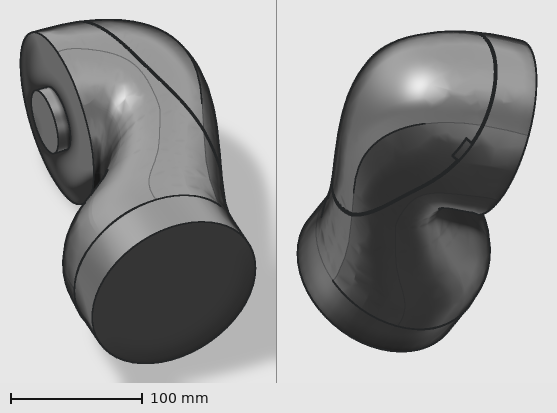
import cadquery as cq
import math

collar_diameter = 136.0
collar_radius = collar_diameter / 2
collar_length = 33.0
total_length = 284.8
collar_end = total_length - collar_radius
collar_start = collar_end - collar_length

pin_diameter = 50.0
pin_height = 10.3

crease_height = 41.5
crease_inset = collar_radius - math.sqrt(collar_radius**2 - crease_height**2)

seam_start = (-67.0, 33.0)
seam_end = (119.5, 83.1)
seam_width = 1.0
seam_depth = 0.9
cutter_overrun = 14.2

slot_length = 16.5
slot_width = 5.7
slot_from_seam_start = 29.0

sections = [
    ((-collar_radius, 0), (collar_radius, 0), 0.5, collar_radius),
    ((-67.5, 20), (68.0, 0.9), 0.5, 67.8),
    ((-59.8, 61.5), (68.5, 2.3), 0.47, 65.5),
    ((-34.2, 99.0), (70.0, 4.0), 0.46, 61.2),
    ((11.5, 114.5), (73.0, 4.8), 0.45, 57.5),
    ((74.5, 101.0), (81.2, 3.5), 0.48, 55.8),
    ((114, 86.3), (98.2, -9.0), 0.49, 57.5),
    ((142.5, 76.0), (116.7, -31.3), 0.52, 60.5),
    ((159.5, 71.5), (142.5, -58.0), 0.52, 64.0),
    ((175.0, 68.3), (170.8, -67.2), 0.5, 67.2),
    ((collar_start, collar_radius), (collar_start, -collar_radius), 0.5, collar_radius),
]


def section_wire(outer, inner, crown_position, crown_height, inset):
    """Closed outline standing upright on the line from the inner to the outer bend, shrunk by inset."""
    inner_point = cq.Vector(*inner)
    span = cq.Vector(*outer) - inner_point
    inner_reach = span.Length * crown_position
    outer_reach = span.Length - inner_reach
    along = span.normalized()
    crown = inner_point + along * inner_reach

    inner_reach -= inset
    outer_reach -= inset
    crown_height -= inset
    crease = outer_reach - crease_inset
    flank_reach = crease / math.sqrt(1 - (crease_height / crown_height) ** 2)
    crease_angle = math.asin(crease_height / crown_height)

    def point(reach, height):
        return crown + along * reach + cq.Vector(0, 0, height)

    def quarter(reach, start_angle, end_angle):
        """Spline along part of an ellipse around the crown line, tangent to it at both ends."""
        def on_ellipse(angle):
            return point(reach * math.cos(angle), crown_height * math.sin(angle))

        def heading(angle):
            return along * (-reach * math.sin(angle)) + cq.Vector(0, 0, crown_height * math.cos(angle))

        middle_angle = (start_angle + end_angle) / 2
        points = [on_ellipse(a) for a in (start_angle, middle_angle, end_angle)]
        return cq.Edge.makeSpline(points, tangents=[heading(start_angle), heading(end_angle)])

    top = math.pi / 2
    inner_side = math.pi
    bottom = 3 * math.pi / 2
    full_turn = 2 * math.pi
    strip = cq.Edge.makeThreePointArc(
        point(crease, -crease_height), point(outer_reach, 0), point(crease, crease_height)
    )
    return cq.Wire.assembleEdges([
        strip,
        quarter(flank_reach, crease_angle, top),
        quarter(inner_reach, top, inner_side),
        quarter(inner_reach, inner_side, bottom),
        quarter(flank_reach, bottom, full_turn - crease_angle),
    ])


def bent_arm(inset=0):
    """Smooth body through all the sections; an inset gives the core below the skin."""
    return cq.Workplane(cq.Solid.makeLoft([section_wire(*section, inset) for section in sections]))


def seam_frame():
    """Workplane at the seam start: local X runs along the seam, local Y points to the cover side."""
    along_seam = cq.Vector(*seam_end) - cq.Vector(*seam_start)
    return cq.Workplane(cq.Plane(origin=(*seam_start, 0), xDir=along_seam, normal=(0, 0, 1)))


def seam_cutters():
    """Slab for the seam all round the arm and block for the slot below it, down to the groove floor."""
    seam_length = math.dist(seam_start, seam_end)
    slab = seam_frame().center(seam_length / 2, 0).rect(seam_length + 2 * cutter_overrun, seam_width)
    slab = slab.extrude(collar_radius + cutter_overrun, both=True)
    slot = seam_frame().center(slot_from_seam_start, 0).rect(slot_length, slot_width, centered=False)
    slot = slot.extrude(-collar_diameter)
    return slab.union(slot).cut(bent_arm(inset=seam_depth))


arm = bent_arm().cut(seam_cutters())
collar = cq.Workplane("YZ", origin=(collar_start, 0, 0)).circle(collar_radius).extrude(collar_length)
pin = cq.Workplane("XZ").circle(pin_diameter / 2).extrude(pin_height)
result = arm.union(collar).union(pin)